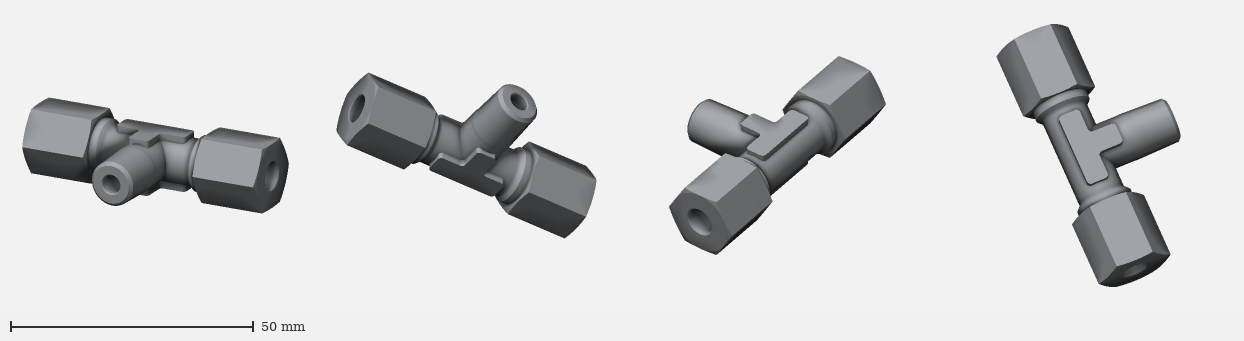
import cadquery as cq
import math

overall_length = 54.0
half_length = overall_length / 2
overall_depth = 28.1

nut_flats = 14.0
nut_corners = nut_flats / math.cos(math.pi / 6)
branch_reach = overall_depth - nut_corners / 2
nut_length = 14.6
nut_chamfer_angle = 15.0

body_diameter = 10.0
body_radius = body_diameter / 2
collar_diameter = 12.0
collar_radius = collar_diameter / 2
collar_inner_x = 10.75
collar_slope_length = collar_radius - body_radius
collar_root_fillet = 1.1

branch_step_start = 9.45
branch_step_end = 10.2
thread_large_diameter = 10.1
thread_small_diameter = 9.55
thread_chamfer_length = 0.7
branch_tip_diameter = 8.2

pad_reach = 8.0
pad_half_width = 2.3
pad_corner_radius = 0.8
pad_height = collar_radius

bore_diameter = 4.0
tube_diameter = 6.0
tube_depth = nut_length
tube_chamfer = 0.2
branch_chamfer = 0.2


def make_nut():
    """Left-hand nut with both ends chamfered at the corners."""
    nut = cq.Workplane("YZ").polygon(6, nut_corners).extrude(nut_length)
    flat_radius = nut_flats / 2
    corner_radius = nut_corners / 2
    chamfer_length = (corner_radius - flat_radius) * math.tan(math.radians(nut_chamfer_angle))
    envelope = (
        cq.Workplane("XY")
        .moveTo(0, 0)
        .lineTo(0, flat_radius)
        .lineTo(chamfer_length, corner_radius)
        .lineTo(nut_length - chamfer_length, corner_radius)
        .lineTo(nut_length, flat_radius)
        .lineTo(nut_length, 0)
        .close()
        .revolve(360, (0, 0, 0), (1, 0, 0))
    )
    return nut.intersect(envelope).translate((-half_length, 0, 0))


def make_collar():
    """Left-hand collar, sloping at 45 degrees down to the body with a rounded root."""
    nut_inner_x = half_length - nut_length
    slope_end_x = collar_inner_x - collar_slope_length
    tangent_length = collar_root_fillet * math.tan(math.pi / 8)
    tangent_offset = tangent_length * math.sqrt(0.5)
    arc_angle = math.pi / 8
    arc_start = (-(slope_end_x + tangent_offset), body_radius + tangent_offset)
    arc_end_x = -(slope_end_x - tangent_length)
    arc_middle = (
        arc_end_x - collar_root_fillet * math.sin(arc_angle),
        body_radius + collar_root_fillet * (1 - math.cos(arc_angle)),
    )
    return (
        cq.Workplane("XY")
        .moveTo(-nut_inner_x, 0)
        .lineTo(-nut_inner_x, collar_radius)
        .lineTo(-collar_inner_x, collar_radius)
        .lineTo(*arc_start)
        .threePointArc(arc_middle, (arc_end_x, body_radius))
        .lineTo(arc_end_x, 0)
        .close()
        .revolve(360, (0, 0, 0), (1, 0, 0))
    )


def make_branch():
    """Branch with a small step up to its tapered, chamfered end."""
    return (
        cq.Workplane("XY")
        .moveTo(0, 0)
        .lineTo(body_radius, 0)
        .lineTo(body_radius, -branch_step_start)
        .lineTo(thread_large_diameter / 2, -branch_step_end)
        .lineTo(thread_small_diameter / 2, thread_chamfer_length - branch_reach)
        .lineTo(branch_tip_diameter / 2, -branch_reach)
        .lineTo(0, -branch_reach)
        .close()
        .revolve(360, (0, 0, 0), (0, 1, 0))
    )


def make_pads():
    """T-shaped bar through the body that forms the upper and lower pads."""
    outline = [
        (-pad_reach, pad_half_width),
        (-pad_reach, -pad_half_width),
        (-pad_half_width, -pad_half_width),
        (-pad_half_width, -pad_reach),
        (pad_half_width, -pad_reach),
        (pad_half_width, -pad_half_width),
        (pad_reach, -pad_half_width),
        (pad_reach, pad_half_width),
    ]
    return (
        cq.Workplane("XY")
        .polyline(outline)
        .close()
        .extrude(pad_height, both=True)
        .edges("|Z")
        .fillet(pad_corner_radius)
    )


def make_tube_socket():
    """Left-hand tube socket with a chamfered mouth."""
    socket_radius = tube_diameter / 2
    return (
        cq.Workplane("XY")
        .moveTo(-half_length, 0)
        .lineTo(-half_length, socket_radius + tube_chamfer)
        .lineTo(tube_chamfer - half_length, socket_radius)
        .lineTo(tube_depth - half_length, socket_radius)
        .lineTo(tube_depth - half_length, 0)
        .close()
        .revolve(360, (0, 0, 0), (1, 0, 0))
    )


def make_branch_bore():
    """Branch passage with a chamfered mouth."""
    bore_radius = bore_diameter / 2
    return (
        cq.Workplane("XY")
        .moveTo(0, 0)
        .lineTo(bore_radius, 0)
        .lineTo(bore_radius, branch_chamfer - branch_reach)
        .lineTo(bore_radius + branch_chamfer, -branch_reach)
        .lineTo(0, -branch_reach)
        .close()
        .revolve(360, (0, 0, 0), (0, 1, 0))
    )


run_body = cq.Workplane("YZ").circle(body_radius).extrude(half_length - nut_length, both=True)
result = run_body.union(make_branch()).union(make_pads())
for end_part in (make_collar(), make_nut()):
    result = result.union(end_part).union(end_part.mirror("YZ"))

run_bore = cq.Workplane("YZ").circle(bore_diameter / 2).extrude(half_length, both=True)
tube_socket = make_tube_socket()
result = result.cut(run_bore).cut(make_branch_bore())
result = result.cut(tube_socket).cut(tube_socket.mirror("YZ"))